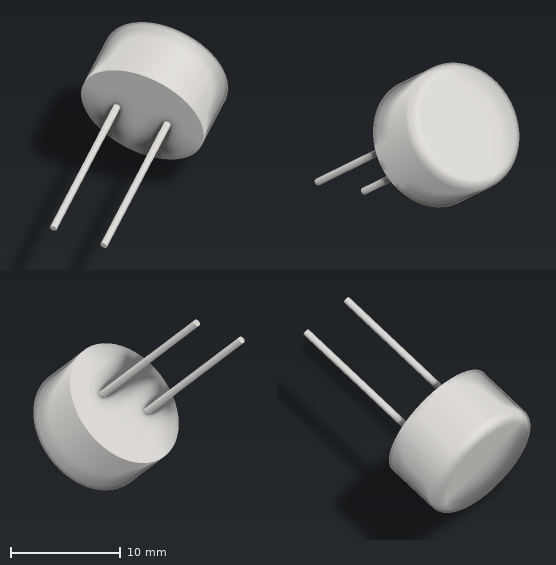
import cadquery as cq

total_length = 21.5
body_diameter = 12.2
body_length = 6.5
rim_radius = 1.0

lead_diameter = 0.67
lead_spacing = 5.0
lead_length = total_length - body_length


def make_body():
    """Round can from Y = 0 to +Y, with a rounded rim at its far end."""
    can = cq.Workplane("XZ").circle(body_diameter / 2).extrude(-body_length)
    return can.faces(">Y").edges().fillet(rim_radius)


def make_leads():
    """Two straight round leads running from the flat base toward -Y."""
    lead_centers = [(-lead_spacing / 2, 0), (lead_spacing / 2, 0)]
    return cq.Workplane("XZ").pushPoints(lead_centers).circle(lead_diameter / 2).extrude(lead_length)


result = make_body().union(make_leads())